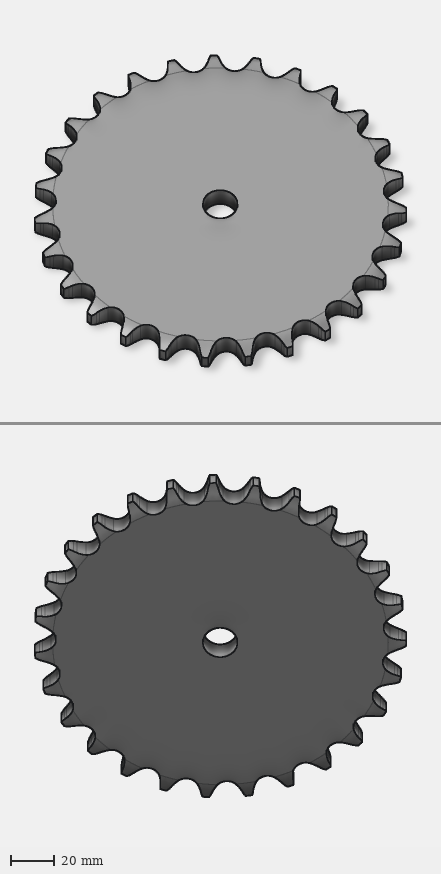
import cadquery as cq
import math

TEETH = 27
PITCH = 19.05
ROLLER_DIAMETER = 11.91
OUTER_DIAMETER = 172.3
THICKNESS = 11.1
BORE_DIAMETER = 16.0

SIDE_RADIUS = 19.0
SIDE_DROP = 2.0

SEATING_FACTOR = 0.5025
WORKING_FACTOR = 1.3025
WORKING_OFFSET_FACTOR = 0.8
TOPPING_OFFSET_FACTOR = 1.4
FORM_ALLOWANCE = 0.038
SEATING_ANGLE = math.radians(55 - 60 / TEETH)
WORKING_ANGLE = math.radians(18 - 56 / TEETH)
TOPPING_ANGLE = math.radians(17 - 64 / TEETH)

WORKING_OFFSET = WORKING_OFFSET_FACTOR * ROLLER_DIAMETER
TOPPING_OFFSET = TOPPING_OFFSET_FACTOR * ROLLER_DIAMETER
SEATING_RADIUS = SEATING_FACTOR * ROLLER_DIAMETER + FORM_ALLOWANCE
WORKING_RADIUS = WORKING_FACTOR * ROLLER_DIAMETER + FORM_ALLOWANCE
FLAT_LENGTH = TOPPING_OFFSET * math.sin(TOPPING_ANGLE) - WORKING_OFFSET * math.sin(WORKING_ANGLE)
TOPPING_RADIUS = (
    WORKING_OFFSET * math.cos(WORKING_ANGLE) + TOPPING_OFFSET * math.cos(TOPPING_ANGLE) - WORKING_RADIUS
)

HALF_STEP = math.pi / TEETH
PITCH_RADIUS = PITCH / (2 * math.sin(HALF_STEP))
ROOT_RADIUS = PITCH_RADIUS - SEATING_RADIUS
OUTER_RADIUS = OUTER_DIAMETER / 2
ROUNDED_WIDTH = math.sqrt(SIDE_RADIUS**2 - (SIDE_RADIUS - SIDE_DROP) ** 2)
FACE_RADIUS = OUTER_RADIUS - ROUNDED_WIDTH
FIRST_TOOTH_ANGLE = -math.pi / 2


def point_on_arc(center, radius, angle):
    """Point on an arc in the gap frame; the angle is measured from -y towards +x."""
    return (center[0] + radius * math.sin(angle), center[1] - radius * math.cos(angle))


def arc_center(point, radius, angle):
    """Center of the arc that passes through a point at the given angle."""
    return (point[0] - radius * math.sin(angle), point[1] + radius * math.cos(angle))


def gap_side_points():
    """Points up one side of a gap whose axis is +y, from the roller seat to the tooth tip."""
    roller_center = (0, PITCH_RADIUS)
    seating_end = point_on_arc(roller_center, SEATING_RADIUS, SEATING_ANGLE)

    flat_angle = SEATING_ANGLE + WORKING_ANGLE
    working_center = arc_center(seating_end, WORKING_RADIUS, SEATING_ANGLE)
    working_middle = point_on_arc(working_center, WORKING_RADIUS, SEATING_ANGLE + WORKING_ANGLE / 2)
    working_end = point_on_arc(working_center, WORKING_RADIUS, flat_angle)

    flat_end = (
        working_end[0] + FLAT_LENGTH * math.cos(flat_angle),
        working_end[1] + FLAT_LENGTH * math.sin(flat_angle),
    )

    topping_center = (
        flat_end[0] + TOPPING_RADIUS * math.sin(flat_angle),
        flat_end[1] - TOPPING_RADIUS * math.cos(flat_angle),
    )
    center_distance = math.hypot(*topping_center)
    center_direction = math.atan2(topping_center[1], topping_center[0])
    tip_offset = math.acos(
        (center_distance**2 + OUTER_RADIUS**2 - TOPPING_RADIUS**2) / (2 * center_distance * OUTER_RADIUS)
    )
    tip_direction = center_direction + tip_offset
    tip = (OUTER_RADIUS * math.cos(tip_direction), OUTER_RADIUS * math.sin(tip_direction))
    start_angle = math.atan2(flat_end[1] - topping_center[1], flat_end[0] - topping_center[0])
    end_angle = math.atan2(tip[1] - topping_center[1], tip[0] - topping_center[0])
    middle_angle = (start_angle + end_angle) / 2
    topping_middle = (
        topping_center[0] + TOPPING_RADIUS * math.cos(middle_angle),
        topping_center[1] + TOPPING_RADIUS * math.sin(middle_angle),
    )
    return (seating_end, working_middle, working_end, flat_end, topping_middle, tip)


def turned(point, angle):
    """Point turned about the sprocket axis."""
    cosine = math.cos(angle)
    sine = math.sin(angle)
    return (point[0] * cosine - point[1] * sine, point[0] * sine + point[1] * cosine)


def make_toothed_plate():
    """Flat plate with the full tooth outline, drawn gap by gap counterclockwise."""
    right_side = gap_side_points()
    left_side = [(-x, y) for x, y in right_side]
    start_turn = FIRST_TOOTH_ANGLE + HALF_STEP - math.pi / 2

    outline = cq.Workplane("XY").workplane(offset=-THICKNESS / 2)
    outline = outline.moveTo(*turned(right_side[-1], start_turn))
    for index in range(TEETH):
        turn = start_turn + 2 * HALF_STEP * index
        root = turned((0, ROOT_RADIUS), turn)

        right = [turned(point, turn) for point in right_side]
        seating_end, working_middle, working_end, flat_end, topping_middle, _ = right
        outline = outline.threePointArc(topping_middle, flat_end)
        outline = outline.lineTo(*working_end)
        outline = outline.threePointArc(working_middle, seating_end)

        left = [turned(point, turn) for point in left_side]
        seating_end, working_middle, working_end, flat_end, topping_middle, tip = left
        outline = outline.threePointArc(root, seating_end)
        outline = outline.threePointArc(working_middle, working_end)
        outline = outline.lineTo(*flat_end)
        outline = outline.threePointArc(topping_middle, tip)

        tip_middle = turned((0, OUTER_RADIUS), turn + HALF_STEP)
        next_tip = turned(right_side[-1], turn + 2 * HALF_STEP)
        outline = outline.threePointArc(tip_middle, next_tip)
    return outline.close().extrude(THICKNESS)


def make_rounded_blank():
    """Turned disc whose rim has both sides rounded towards the tooth tips."""
    half_thickness = THICKNESS / 2
    half_width = ROUNDED_WIDTH / 2
    half_drop = SIDE_RADIUS - math.sqrt(SIDE_RADIUS**2 - half_width**2)
    middle_radius = FACE_RADIUS + half_width
    return (
        cq.Workplane("XZ")
        .moveTo(0, -half_thickness)
        .lineTo(FACE_RADIUS, -half_thickness)
        .threePointArc(
            (middle_radius, half_drop - half_thickness), (OUTER_RADIUS, SIDE_DROP - half_thickness)
        )
        .lineTo(OUTER_RADIUS, half_thickness - SIDE_DROP)
        .threePointArc((middle_radius, half_thickness - half_drop), (FACE_RADIUS, half_thickness))
        .lineTo(0, half_thickness)
        .close()
        .revolve(360, (0, 0, 0), (0, 1, 0))
    )


def make_bore():
    """Cylinder that clears the central through bore."""
    return cq.Workplane("XY").circle(BORE_DIAMETER / 2).extrude(THICKNESS, both=True)


result = make_toothed_plate().intersect(make_rounded_blank()).cut(make_bore())